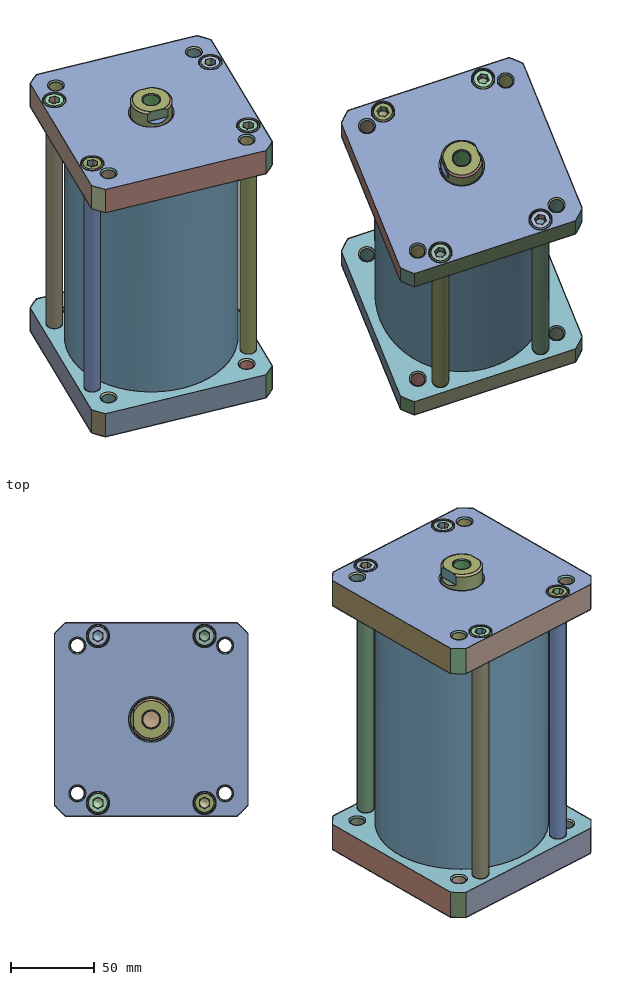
import cadquery as cq
import math

TOTAL_HEIGHT = 202.0
PLATE_SIDE = 116.0
PLATE_THICKNESS = 18.0
PLATE_CORNER_DIAMETER = 155.0
ROD_PROTRUSION = 10.0

FRONT_PLATE_TOP = TOTAL_HEIGHT - ROD_PROTRUSION
FRONT_PLATE_BOTTOM = FRONT_PLATE_TOP - PLATE_THICKNESS
TUBE_LENGTH = FRONT_PLATE_BOTTOM - PLATE_THICKNESS

TUBE_DIAMETER = 104.0
TUBE_BORE = 100.0

MOUNT_SPACING = 88.5
MOUNT_HOLE_DIAMETER = 8.3
MOUNT_HOLE_MOUTH = 10.0

TIE_SPACING_X = 63.8
TIE_SPACING_Y = 100.0
TIE_DIAMETER = 10.0
TIE_END_DIAMETER = 8.9
HEAD_DIAMETER = 13.0
HEAD_HEIGHT = 8.0
HEAD_CHAMFER = 0.8
COUNTERBORE_DIAMETER = 14.0
HEX_ACROSS_FLATS = 6.0
HEX_DEPTH = 5.0
SOCKET_POINT_ANGLE = 118.0

ROD_DIAMETER = 25.0
ROD_CHAMFER = 1.2
ROD_ACROSS_FLATS = 21.5
FLAT_LENGTH = 7.0
ROD_HOLE_DIAMETER = 10.0
ROD_HOLE_MOUTH = 11.3
ROD_HOLE_DEPTH = 20.2
ROD_HOLE_POINT_ANGLE = 160.0
GUIDE_BORE = 25.7
GUIDE_MOUTH = 27.3


def corner_points(spacing_x, spacing_y):
    """Four points at the corners of a centred rectangle."""
    return [(sx * spacing_x / 2, sy * spacing_y / 2) for sx in (-1, 1) for sy in (-1, 1)]


def cylinder(diameter, bottom, top):
    """Upright cylinder on the Z axis."""
    return cq.Workplane("XY").workplane(offset=bottom).circle(diameter / 2).extrude(top - bottom)


def chamfered_hole(diameter, mouth_diameter, bottom, top):
    """Cutter for a round hole with a 45-degree chamfer at its upper mouth."""
    chamfer = (mouth_diameter - diameter) / 2
    profile = [
        (0, bottom),
        (diameter / 2, bottom),
        (diameter / 2, top - chamfer),
        (mouth_diameter / 2, top),
        (0, top),
    ]
    return cq.Workplane("XZ").polyline(profile).close().revolve(360, (0, 0), (0, 1))


def drill_point(diameter, mouth_height, point_angle):
    """Downward cone below the given height, with the given full angle at its tip."""
    depth = diameter / 2 / math.tan(math.radians(point_angle / 2))
    profile = [(0, mouth_height), (diameter / 2, mouth_height), (0, mouth_height - depth)]
    return cq.Workplane("XZ").polyline(profile).close().revolve(360, (0, 0), (0, 1))


def make_plate(bottom):
    """Square end plate with turned corners and four mounting holes."""
    top = bottom + PLATE_THICKNESS
    plate = cq.Workplane("XY").workplane(offset=bottom).rect(PLATE_SIDE, PLATE_SIDE).extrude(PLATE_THICKNESS)
    plate = plate.intersect(cylinder(PLATE_CORNER_DIAMETER, bottom, top))
    mount_hole = chamfered_hole(MOUNT_HOLE_DIAMETER, MOUNT_HOLE_MOUTH, bottom, top)
    for x, y in corner_points(MOUNT_SPACING, MOUNT_SPACING):
        plate = plate.cut(mount_hole.translate((x, y, 0)))
    return plate


def make_front_plate():
    """End plate that also carries the rod guide bore and the tie rod seats."""
    plate = make_plate(FRONT_PLATE_BOTTOM)
    plate = plate.cut(chamfered_hole(GUIDE_BORE, GUIDE_MOUTH, FRONT_PLATE_BOTTOM, FRONT_PLATE_TOP))
    shank_hole = cylinder(TIE_DIAMETER, FRONT_PLATE_BOTTOM, FRONT_PLATE_TOP)
    head_recess = cylinder(COUNTERBORE_DIAMETER, FRONT_PLATE_TOP - HEAD_HEIGHT, FRONT_PLATE_TOP)
    tie_seat = shank_hole.union(head_recess)
    for x, y in corner_points(TIE_SPACING_X, TIE_SPACING_Y):
        plate = plate.cut(tie_seat.translate((x, y, 0)))
    return plate


def make_tube():
    """Plain tube clamped between the two plates."""
    tube_profile = cq.Workplane("XY").workplane(offset=PLATE_THICKNESS)
    return tube_profile.circle(TUBE_DIAMETER / 2).circle(TUBE_BORE / 2).extrude(TUBE_LENGTH)


def make_tie_rod(x, y):
    """Tie rod standing on the rear plate, its socket head flush with the front plate."""
    head_bottom = FRONT_PLATE_TOP - HEAD_HEIGHT
    end_chamfer = (TIE_DIAMETER - TIE_END_DIAMETER) / 2
    shank = cylinder(TIE_DIAMETER, PLATE_THICKNESS, head_bottom).faces("<Z").chamfer(end_chamfer)
    head = cylinder(HEAD_DIAMETER, head_bottom, FRONT_PLATE_TOP).faces(">Z").chamfer(HEAD_CHAMFER)

    socket_floor = FRONT_PLATE_TOP - HEX_DEPTH
    socket = (
        cq.Workplane("XY")
        .workplane(offset=socket_floor)
        .polygon(6, HEX_ACROSS_FLATS, circumscribed=True)
        .extrude(HEX_DEPTH)
        .union(drill_point(HEX_ACROSS_FLATS, socket_floor, SOCKET_POINT_ANGLE))
    )
    return shank.union(head).cut(socket).translate((x, y, 0))


def make_rod():
    """Piston rod with two wrench flats and a blind hole in its upper end."""
    rod = cylinder(ROD_DIAMETER, PLATE_THICKNESS, TOTAL_HEIGHT).faces(">Z").chamfer(ROD_CHAMFER)

    flat_x = ROD_ACROSS_FLATS / 2
    outer_x = ROD_DIAMETER / 2
    flat_bottom = TOTAL_HEIGHT - FLAT_LENGTH
    runout_drop = outer_x - flat_x
    flat_profile = [
        (flat_x, TOTAL_HEIGHT),
        (flat_x, flat_bottom),
        (outer_x, flat_bottom - runout_drop),
        (outer_x, TOTAL_HEIGHT),
    ]
    flat = cq.Workplane("XZ").polyline(flat_profile).close().extrude(outer_x, both=True)
    rod = rod.cut(flat).cut(flat.mirror("YZ"))

    hole_floor = TOTAL_HEIGHT - ROD_HOLE_DEPTH
    hole = chamfered_hole(ROD_HOLE_DIAMETER, ROD_HOLE_MOUTH, hole_floor, TOTAL_HEIGHT)
    return rod.cut(hole).cut(drill_point(ROD_HOLE_DIAMETER, hole_floor, ROD_HOLE_POINT_ANGLE))


rear_plate = make_plate(0)
front_plate = make_front_plate()
tube = make_tube()
rod = make_rod()
tie_rods = [make_tie_rod(x, y) for x, y in corner_points(TIE_SPACING_X, TIE_SPACING_Y)]

result = cq.Compound.makeCompound(
    [
        rear_plate.val(),
        front_plate.val(),
        tube.val(),
        rod.val(),
        *[tie_rod.val() for tie_rod in tie_rods],
    ]
)